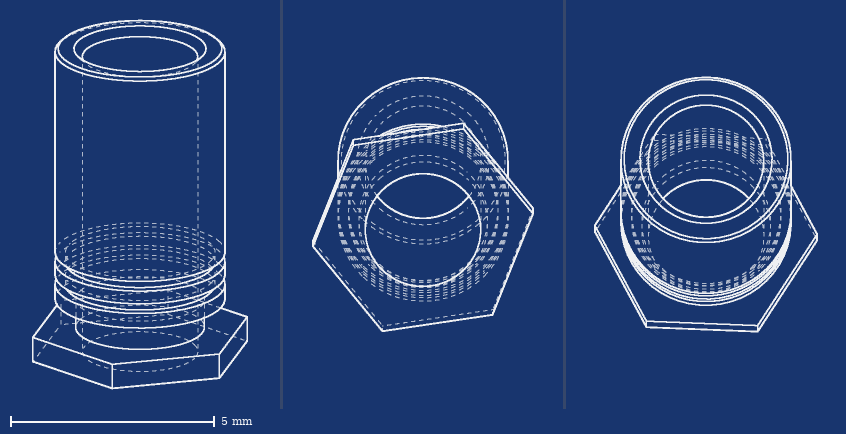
import cadquery as cq
import math

head_across_flats = 4.75
head_across_corners = head_across_flats / math.cos(math.radians(30))
head_height = 0.635

total_height = 7.94
body_diameter = 4.19
neck_diameter = 3.175
groove_diameter = 3.685
body_bottom = 1.38
rim_chamfer = 0.08

groove_width = 0.255
groove_bottoms = (1.76, 2.35)

bore_diameter = 2.84
countersink_diameter = 3.255
countersink_angle = 90.0


def cylinder(diameter, bottom, top):
    """Solid cylinder on the Z axis between two heights."""
    return cq.Workplane("XY").workplane(offset=bottom).circle(diameter / 2).extrude(top - bottom)


def groove_cutter(bottom):
    """Ring that removes one groove from the body."""
    top = bottom + groove_width
    return cylinder(body_diameter, bottom, top).cut(cylinder(groove_diameter, bottom, top))


head = cq.Workplane("XY").polygon(6, head_across_corners).extrude(head_height)
neck = cylinder(neck_diameter, head_height, body_bottom)

body = cylinder(body_diameter, body_bottom, total_height).faces(">Z").edges().chamfer(rim_chamfer)
for groove_bottom in groove_bottoms:
    body = body.cut(groove_cutter(groove_bottom))

result = (
    head.union(neck)
    .union(body)
    .faces(">Z")
    .workplane(origin=(0, 0, total_height))
    .cskHole(bore_diameter, countersink_diameter, countersink_angle)
)